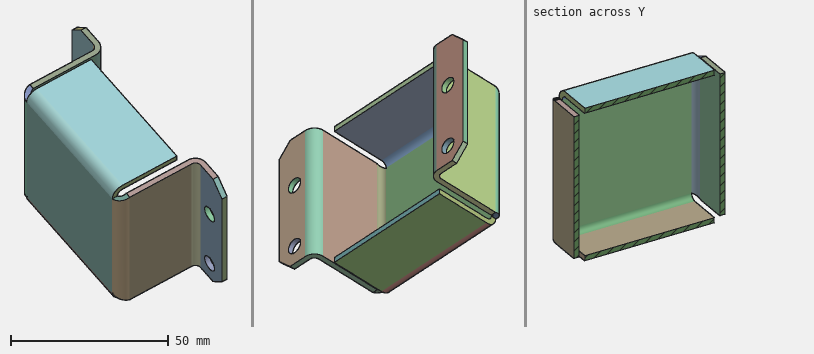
import cadquery as cq

sheet = 2.0
bend_inner = 2.0
bend_outer = bend_inner + sheet

panel_side = 48.0
panel_half = panel_side / 2
wall_outer = panel_half + bend_outer
wall_inner = wall_outer - sheet

flange_depth = 25.0

total_width = 84.0
total_depth = 32.0
side_height = 52.0
side_half_height = side_height / 2
ear_end = total_width / 2
ear_corner_cut = 5.0
ear_bend_x = wall_inner + bend_outer
ear_bend_y = total_depth - bend_outer

hole_diameter = 5.5
hole_edge_distance = 7.0
hole_spacing = 25.0
hole_centre_z = -6.25

cut_margin = 0.5


def box_between(x_range, y_range, z_range):
    """Axis-aligned box given by its limits on each axis."""
    lengths = [high - low for low, high in (x_range, y_range, z_range)]
    corner = (x_range[0], y_range[0], z_range[0])
    return cq.Workplane("XY").box(*lengths, centered=False).translate(corner)


def quarter_bend(centre, x_sign, y_sign, height):
    """Quarter ring of sheet about a Z axis, in the quadrant given by the signs."""
    x, y = centre
    ring = cq.Workplane("XY").circle(bend_outer).circle(bend_inner).extrude(height)
    quadrant = box_between(
        sorted((0, x_sign * bend_outer)), sorted((0, y_sign * bend_outer)), (0, height)
    )
    return ring.intersect(quadrant).translate((x, y, -height / 2))


def tapered_end_cutter():
    """Solid above the +X front bend, whose floor climbs steadily with the bend angle."""
    rise = side_half_height - panel_half
    pitch = 4 * rise
    inner_edge = cq.Wire.makeHelix(pitch, rise, bend_inner - cut_margin).Edges()[0]
    outer_edge = cq.Wire.makeHelix(pitch, rise, bend_outer + cut_margin).Edges()[0]
    floor = cq.Face.makeRuledSurface(inner_edge, outer_edge)
    cutter = cq.Solid.extrudeLinear(floor, cq.Vector(0, 0, 2 * rise))
    return (
        cq.Workplane(cutter)
        .rotate((0, 0, 0), (0, 0, 1), -90)
        .translate((panel_half, bend_outer, panel_half))
    )


def front_panel():
    """Flat square panel at the front."""
    limits = (-panel_half, panel_half)
    return box_between(limits, (0, sheet), limits)


def top_flange():
    """Bend and flat flange folded back from the upper panel edge."""
    flat = box_between(
        (-panel_half, panel_half), (bend_outer, flange_depth), (wall_inner, wall_outer)
    )
    bend = quarter_bend((0, 0), -1, -1, panel_side)
    bend = bend.rotate((0, 0, 0), (0, 1, 0), 90).translate((0, bend_outer, panel_half))
    return flat.union(bend)


def front_side_bend():
    """Bend from the panel into the +X side wall, widening from panel to wall height."""
    bend = quarter_bend((panel_half, bend_outer), 1, -1, side_height)
    cutter = tapered_end_cutter()
    return bend.cut(cutter).cut(cutter.mirror("XY"))


def ear():
    """Mounting ear on the +X side with cut outer corners and two holes."""
    plate = (
        box_between(
            (ear_bend_x, ear_end),
            (total_depth - sheet, total_depth),
            (-side_half_height, side_half_height),
        )
        .edges("|Y and >X")
        .chamfer(ear_corner_cut)
    )
    for z_offset in (-hole_spacing / 2, hole_spacing / 2):
        hole = (
            cq.Workplane("XZ")
            .center(ear_end - hole_edge_distance, hole_centre_z + z_offset)
            .circle(hole_diameter / 2)
            .extrude(-total_depth)
        )
        plate = plate.cut(hole)
    return plate


def side():
    """Complete +X side: front bend, wall, rear bend and ear."""
    wall = box_between(
        (wall_inner, wall_outer),
        (bend_outer, ear_bend_y),
        (-side_half_height, side_half_height),
    )
    rear_bend = quarter_bend((ear_bend_x, ear_bend_y), -1, 1, side_height)
    return front_side_bend().union(wall).union(rear_bend).union(ear())


upper = top_flange()
right_side = side()
result = (
    front_panel()
    .union(upper)
    .union(upper.mirror("XY"))
    .union(right_side)
    .union(right_side.mirror("YZ"))
)